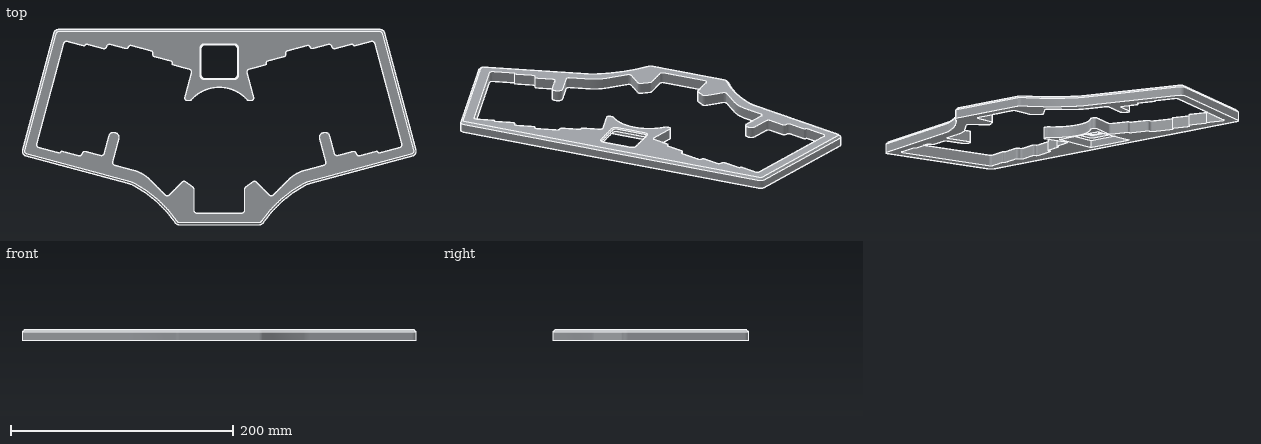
import cadquery as cq
import math

thickness = 10.0
length = 354.5
depth = 176.0
half_length = length / 2
half_depth = depth / 2
top_chamfer = 2.0

tilt = math.radians(15)
grid_x, grid_y = -135.0, 86.5
clearance = 1.8
key_pitch = 114.0 / 6
key_rows = 5
column_drops = [11.5, 9.2, 4.0, 0, 4.3, 7.0]
lower_columns = 3

lower_edge_drop = 118.7
outer_corner_radius = 4.5
thumb_bend_radius = 21.3
thumb_arc_start_x = -79.5
thumb_arc_mid = (-59.0, -65.0)
bottom_corner_x = -38.3

corner_radius = 2.5
max_step_share = 0.48
rib_width = 9.5
rib_tip_drop = 77.5
rib_tip_radius = 4.3
thumb_floor_drop = 106.0
thumb_floor_bend = 31.5
valley = (-46.8, -62.7)
nub_peak = (-32.0, -48.0)
nub_shoulder = (-22.7, -54.5)
bottom_rail_y = -77.3
horn_tip_y = 23.7
horn_inner_x = -26.0
scoop_top_y = 35.8

window_width = 32.5
window_height = 30.0
window_y = 59.0
window_corner_radius = 3.2
window_chamfer = 1.0
lip_thickness = 3.5
recess_depth = thickness - lip_thickness
recess_margin = recess_depth


def grid_point(across, down):
    """Plate position of a point given along and down the tilted key grid."""
    x = grid_x + across * math.cos(tilt) - down * math.sin(tilt)
    y = grid_y - across * math.sin(tilt) - down * math.cos(tilt)
    return (x, y)


def mirrored(point):
    return (-point[0], point[1])


def edge_zone(x, y):
    """Selector for what lies on the upright edges at (x, y) and (-x, y) or between them."""
    slack = 0.5
    return cq.selectors.BoxSelector(
        (-abs(x) - slack, y - slack, -slack),
        (abs(x) + slack, y + slack, thickness + slack),
    )


def rounded_outline(corners):
    """Closed wire through (point, radius) corners, each corner rounded by a tangent arc."""
    arcs = []
    for i, (point, radius) in enumerate(corners):
        here = cq.Vector(*point)
        back = (cq.Vector(*corners[i - 1][0]) - here).normalized()
        ahead = (cq.Vector(*corners[(i + 1) % len(corners)][0]) - here).normalized()
        half_angle = back.getAngle(ahead) / 2
        setback = radius / math.tan(half_angle)
        to_middle = radius / math.sin(half_angle) - radius
        middle = here + (back + ahead).normalized() * to_middle
        arcs.append((here + back * setback, middle, here + ahead * setback))
    outline = cq.Workplane("XY").moveTo(*arcs[0][2].toTuple()[:2])
    for start, middle, end in arcs[1:] + arcs[:1]:
        outline = outline.lineTo(start.x, start.y)
        outline = outline.threePointArc((middle.x, middle.y), (end.x, end.y))
    return outline.close()


def column_steps(base_drop, columns, side):
    """Staircase corners between neighbouring columns, at their upper (-1) or lower (+1) ends.

    The column that reaches farther keeps its clearance, so each step lies inside its neighbour.
    """
    corners = []
    for i in range(columns - 1):
        drop, next_drop = (base_drop + side * clearance + d for d in column_drops[i:i + 2])
        shift = clearance if side * drop > side * next_drop else -clearance
        across = (i + 1) * key_pitch + shift
        radius = min(corner_radius, max_step_share * abs(next_drop - drop))
        corners.append((grid_point(across, drop), radius))
        corners.append((grid_point(across, next_drop), radius))
    return corners


def frame_body():
    corner_drop = lower_edge_drop - outer_corner_radius
    corner_reach = outer_corner_radius - half_length - grid_x + corner_drop * math.sin(tilt)
    wall_line = corner_reach / math.cos(tilt) - outer_corner_radius
    top_drop = (grid_y - half_depth - wall_line * math.sin(tilt)) / math.cos(tilt)
    top_corner = grid_point(wall_line, top_drop)
    low_corner = grid_point(wall_line, lower_edge_drop)
    arc_start_y = low_corner[1] - (thumb_arc_start_x - low_corner[0]) * math.tan(tilt)
    arc_start = (thumb_arc_start_x, arc_start_y)
    bottom_corner = (bottom_corner_x, -half_depth)
    body = (
        cq.Workplane("XY")
        .moveTo(*top_corner)
        .lineTo(*low_corner)
        .lineTo(*arc_start)
        .threePointArc(thumb_arc_mid, bottom_corner)
        .lineTo(*mirrored(bottom_corner))
        .threePointArc(mirrored(thumb_arc_mid), mirrored(arc_start))
        .lineTo(*mirrored(low_corner))
        .lineTo(*mirrored(top_corner))
        .close()
        .extrude(thickness)
    )
    bend_zone = edge_zone(thumb_arc_start_x, arc_start_y)
    upright = cq.selectors.ParallelDirSelector(cq.Vector(0, 0, 1))
    body = body.edges(upright - bend_zone).fillet(outer_corner_radius)
    body = body.edges(upright & bend_zone).fillet(thumb_bend_radius)
    return body.faces(">Z").edges().chamfer(top_chamfer)


def opening():
    left_wall = -clearance
    right_wall = len(column_drops) * key_pitch + clearance
    rib_left = lower_columns * key_pitch + clearance
    rib_right = rib_left + rib_width
    columns_length = key_rows * key_pitch
    first_top = column_drops[0] - clearance
    last_top = column_drops[-1] - clearance
    first_bottom = columns_length + column_drops[0] + clearance
    rib_foot = columns_length + column_drops[lower_columns - 1] + clearance

    wall_top = grid_point(right_wall, last_top)
    horn_outer = (wall_top[0] - (wall_top[1] - horn_tip_y) * math.tan(tilt), horn_tip_y)
    floor_start = grid_point(rib_right, thumb_floor_drop)
    flank_sum = valley[0] + valley[1]
    floor_x = (flank_sum - floor_start[1] - floor_start[0] * math.tan(tilt)) / (1 - math.tan(tilt))
    floor_end = (floor_x, flank_sum - floor_x)

    half = [
        (horn_outer, corner_radius),
        (wall_top, corner_radius),
        *reversed(column_steps(0, len(column_drops), -1)),
        (grid_point(left_wall, first_top), corner_radius),
        (grid_point(left_wall, first_bottom), corner_radius),
        *column_steps(columns_length, lower_columns, 1),
        (grid_point(rib_left, rib_foot), corner_radius),
        (grid_point(rib_left, rib_tip_drop), rib_tip_radius),
        (grid_point(rib_right, rib_tip_drop), rib_tip_radius),
        (floor_start, corner_radius),
        (floor_end, thumb_floor_bend),
        (valley, corner_radius),
        (nub_peak, corner_radius),
        (nub_shoulder, corner_radius),
        ((nub_shoulder[0], bottom_rail_y), corner_radius),
    ]
    other_half = [(mirrored(point), radius) for point, radius in reversed(half)]
    cells = rounded_outline(half + other_half).extrude(thickness)

    scoop_rise = scoop_top_y - horn_tip_y
    scoop_radius = (horn_inner_x**2 + scoop_rise**2) / (2 * scoop_rise)
    scoop = cq.Workplane("XY").center(0, scoop_top_y - scoop_radius).circle(scoop_radius).extrude(thickness)
    horn_edges = edge_zone(horn_inner_x, horn_tip_y)
    return cells.union(scoop).edges(horn_edges).edges("|Z").fillet(corner_radius)


def screen_window():
    window = (
        cq.Workplane("XY")
        .center(0, window_y)
        .rect(window_width, window_height)
        .extrude(thickness)
        .edges("|Z")
        .fillet(window_corner_radius)
    )
    bevel = (
        window.faces(">Z")
        .wires()
        .toPending()
        .workplane()
        .offset2D(window_chamfer)
        .extrude(-window_chamfer, taper=45)
    )
    recess = (
        cq.Workplane("XY")
        .center(0, window_y)
        .rect(window_width + 2 * recess_margin, window_height + 2 * recess_margin)
        .extrude(recess_depth)
    )
    return window.union(bevel).union(recess)


result = frame_body().cut(opening()).cut(screen_window())